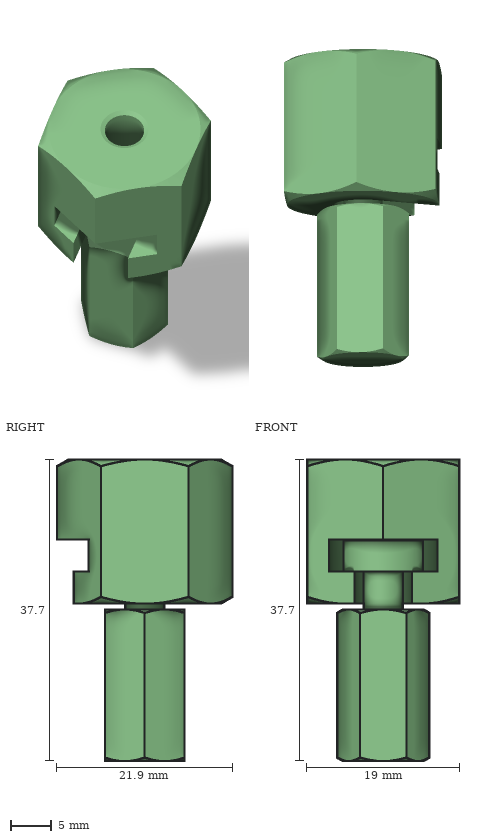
import cadquery as cq
import math

total_height = 37.7

nut_across_flats = 19.0
nut_height = 18.02
bore_diameter = 4.9
bore_mouth_diameter = 6.0
head_slot_width = 13.6
neck_slot_width = 7.25
slot_lip_height = 4.05
head_slot_height = 3.95

stud_across_flats = 10.0
stud_hex_height = 18.95
neck_diameter = 4.9
head_diameter = 10.0
head_clearance = 0.1

chamfer_angle = 30.0

hexagon_sides = 6
half_side_angle = 180 / hexagon_sides

nut_bottom = total_height - nut_height
head_slot_floor = nut_bottom + slot_lip_height
head_slot_roof = head_slot_floor + head_slot_height


def chamfered_hexagon(across_flats, height, bottom, corner_direction):
    """Hexagonal bar with a corner along "X" or "Y" and conical chamfers at both ends."""
    corner_radius = across_flats / 2 / math.cos(math.radians(half_side_angle))
    flat_radius = across_flats / 2
    chamfer_drop = (corner_radius - flat_radius) * math.tan(math.radians(chamfer_angle))
    bar = cq.Workplane("XY").polygon(hexagon_sides, 2 * corner_radius).extrude(height)
    if corner_direction == "Y":
        bar = bar.rotate((0, 0, 0), (0, 0, 1), half_side_angle)
    envelope = (
        cq.Workplane("XZ")
        .moveTo(0, 0)
        .lineTo(flat_radius, 0)
        .lineTo(corner_radius, chamfer_drop)
        .lineTo(corner_radius, height - chamfer_drop)
        .lineTo(flat_radius, height)
        .lineTo(0, height)
        .close()
        .revolve(360, (0, 0, 0), (0, 1, 0))
    )
    return bar.intersect(envelope).translate((0, 0, bottom))


def disc(diameter, bottom, top):
    return cq.Workplane("XY").workplane(offset=bottom).circle(diameter / 2).extrude(top - bottom)


def round_ended_slot(width, bottom, top):
    """Slot cutter with its round end centred on the axis, running out through the -Y side."""
    radius = width / 2
    run_out = nut_across_flats
    return (
        cq.Workplane("XY")
        .workplane(offset=bottom)
        .moveTo(-radius, -run_out)
        .lineTo(-radius, 0)
        .threePointArc((0, radius), (radius, 0))
        .lineTo(radius, -run_out)
        .close()
        .extrude(top - bottom)
    )


def bore_mouth():
    """Conical cutter that widens the bore at the top face of the nut."""
    bore_radius = bore_diameter / 2
    mouth_radius = bore_mouth_diameter / 2
    depth = (mouth_radius - bore_radius) * math.tan(math.radians(chamfer_angle))
    return (
        cq.Workplane("XZ")
        .moveTo(0, total_height)
        .lineTo(mouth_radius, total_height)
        .lineTo(bore_radius, total_height - depth)
        .lineTo(0, total_height - depth)
        .close()
        .revolve(360, (0, 0, 0), (0, 1, 0))
    )


def make_nut():
    body = chamfered_hexagon(nut_across_flats, nut_height, nut_bottom, "Y")
    body = body.cut(disc(bore_diameter, head_slot_roof, total_height))
    body = body.cut(bore_mouth())
    body = body.cut(round_ended_slot(head_slot_width, head_slot_floor, head_slot_roof))
    return body.cut(round_ended_slot(neck_slot_width, nut_bottom, head_slot_floor))


def make_stud():
    body = chamfered_hexagon(stud_across_flats, stud_hex_height, 0, "X")
    body = body.union(disc(neck_diameter, stud_hex_height, head_slot_floor))
    return body.union(disc(head_diameter, head_slot_floor, head_slot_roof - head_clearance))


nut = make_nut()
stud = make_stud()

result = cq.Compound.makeCompound([nut.val(), stud.val()])